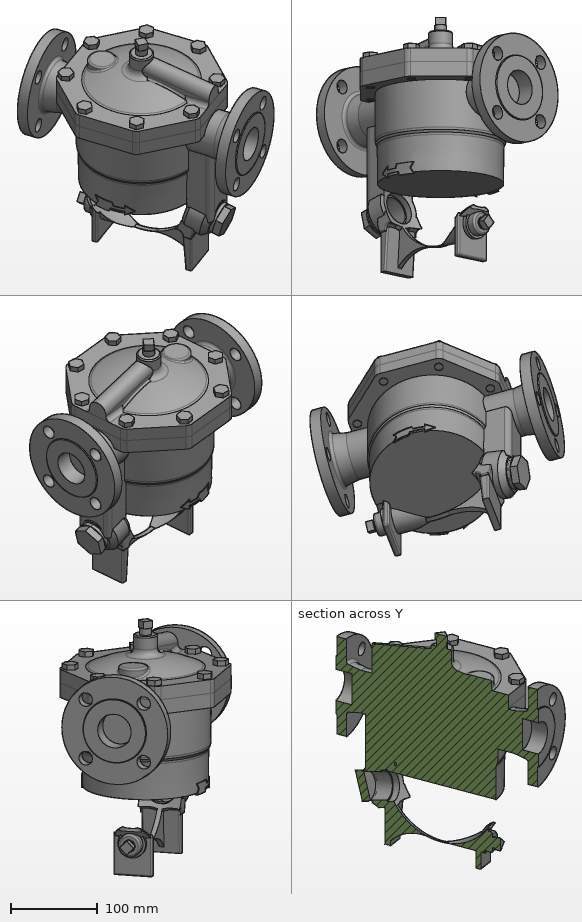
import cadquery as cq
import math


OVERLAP = 1.0
ARC_INSET = 1 - math.sqrt(0.5)

BODY_R = 75.5
LOWER_R_TOP = 73.2
LOWER_R_BOTTOM = 72.7
BODY_BOTTOM_Z = -94.0
STEP_TOP_Z = -43.0
STEP_BOTTOM_Z = -51.5
STEP_EASE_R = 0.4
STEP_EASE_Z = 2.8
BOWL_R = 73.0

OCTAGON_WIDTH = 185.0
OCTAGON_LEFT_X = -90.0
JOINT_BOTTOM_Z = 13.0
JOINT_Z = 30.2
JOINT_TOP_Z = 46.4
JOINT_CORNER_R = 10.0
BOLT_COUNT = 8
BOLT_CIRCLE_R = 87.3
BOLT_HEAD_FLATS = 16.0
BOLT_HEAD_HEIGHT = 6.3
BOLT_D = 10.0
BOLT_END_LENGTH = 0.7

FLANGE_MID_X = 5.4
FLANGE_SPAN = 270.0
FLANGE_D = 127.0
FLANGE_THICKNESS = 14.4
RAISED_FACE_R = 38.0
RAISED_FACE_HEIGHT = 1.3
RAISED_FACE_CHAMFER = 0.8
PIPE_BORE_D = 40.0
PIPE_BORE_DEPTH = 21.0
FLANGE_BOLT_CIRCLE_D = 98.4
FLANGE_HOLE_D = 16.0
NECK_R = 28.0
NECK_ROOT_R = 31.0
NECK_FLARE_LENGTH = 19.5
NECK_ROOT_FILLET = 3.8

DOME_R = 66.5
DOME_EDGE_R = 69.0
DOME_EDGE_Z = JOINT_TOP_Z + 1.0
DOME_CROWN_R = 22.6
DOME_CROWN_Z = 60.3
DOME_CENTRE_Z = (DOME_CROWN_Z + DOME_EDGE_Z) / 2 - (
    (DOME_R**2 - DOME_CROWN_R**2) / (2 * (DOME_CROWN_Z - DOME_EDGE_Z))
)
DOME_SPHERE_R = math.hypot(DOME_R, DOME_EDGE_Z - DOME_CENTRE_Z)
STEM_R = 14.0
STEM_FILLET_TOP_Z = 69.5
STEM_TOP_Z = 85.0
STEM_CHAMFER = 1.5
PLUG_SQUARE = 12.0
PLUG_HEAD_LENGTH = 8.6
PLUG_COLLAR_R = 7.0
PLUG_COLLAR_LENGTH = 7.7

COVER_BOSS_X = -50.4
COVER_BOSS_R = 17.0
COVER_BOSS_TOP_Z = 59.4
COVER_BOSS_EDGE_R = 2.5

RIDGE_R = 12.25
RIDGE_SLOPE = math.radians(10)
RIDGE_END_Z = 53.6
RIDGE_FOOT_FILLET = 6.0
RIDGE_FOOT_START_X = 62.5
RIDGE_DOME_FILLET = 2.8

DUCT_END_X = 101.3
DUCT_START_X = 66.0
DUCT_HALF_WIDTH = 23.0
DUCT_BOTTOM_Z = -113.0
DUCT_EDGE_R = 7.0
HOLDER_TILT = 14.0
HOLDER_END = (110.1, -122.7)
HOLDER_R = 27.7
HOLDER_NECK_R = 21.5
HOLDER_LENGTH = 47.0
HOLDER_END_BEVEL = (5.5, 3.0)
HOLDER_TAPER_START = 21.0
HOLDER_NECK_START = 13.4
CAP_THICKNESS = 9.0
CAP_CORNER_D = 39.5
CAP_WASHER_R = 19.0
HOLDER_BORE_R = 17.5
HOLDER_BORE_FLOOR = 12.0
HOLDER_BORE_MOUTH_R = 19.4
HOLDER_BORE_MOUTH_DEPTH = 35.0

FOOT_BOTTOM_Z = -189.7
FOOT_HALF_WIDTH = 23.2
SADDLE_HALF_WIDTH = 25.2
FOOT_EDGE_R = 1.9
WEB_THICKNESS = 6.0

LEFT_FOOT_X = (-53.1, -45.5)
LEFT_FOOT_TOP_Z = -136.0
DRAIN_Z = -150.5
DRAIN_R = 13.6
DRAIN_EDGE_R = 2.5
FLARE_R = 23.0
FLARE_LENGTH = 3.5
FLARE_WALL = 2.8
FLARE_LOWEST_Z = -143.0
DRAIN_FACE_X = -68.3
DRAIN_COLLAR_LENGTH = 2.0
FAIRING_R = 16.6
FAIRING_START_X = -58.0
FAIRING_END_X = 2.0

RIGHT_FOOT_X = (67.5, 75.4)
RIGHT_FOOT_TOP_Z = -120.0
RIGHT_FOOT_SHOULDER = (63.7, -138.0)
SADDLE_TOP_Z = -119.0
SADDLE_LEDGE_Z = -134.5
SADDLE_BOTTOM_Z = -143.0
SADDLE_LEDGE_X = 59.5
SADDLE_ROOT_X = 65.0
SADDLE_X = (54.5, 78.6)
SADDLE_EDGE_R = 1.5

WEB_TIP_X = 14.0
WEB_TIP_Z = -166.0
WEB_MID = (48.4, -169.6)
WEB_ROOT_Z = -188.5

STRIP_WALL = 0.8
STRIP_X = (-8.0, 30.0)

ARROW_R = 73.8
ARROW_Z = -88.8
ARROW_TAIL_X = -25.4
ARROW_NOTCH = 4.2
ARROW_HALF_HEIGHT = 6.9
ARROW_SHAFT_HALF = 2.3
ARROW_VANE_TOP_X = -1.9
ARROW_VANE_BOTTOM_X = -5.9
ARROW_STEP = 1.8
ARROW_HEAD_X = 13.7
ARROW_TIP_X = 25.6


def cylinder_z(radius, bottom, top, x=0.0, y=0.0):
    return cq.Workplane("XY", origin=(x, y, bottom)).circle(radius).extrude(top - bottom)


def cylinder_x(radius, start, end, z=0.0):
    return cq.Workplane("YZ", origin=(start, 0, z)).circle(radius).extrude(end - start)


def box(x, y, z):
    """Box from (low, high) pairs."""
    return cq.Workplane("XY").box(
        x[1] - x[0], y[1] - y[0], z[1] - z[0], centered=False
    ).translate((x[0], y[0], z[0]))


def plate_xz(outline, half_width):
    """Extrude a closed XZ outline equally to both sides of the XZ plane."""
    return outline.close().extrude(half_width, both=True)


def make_body():
    profile = (
        cq.Workplane("XZ")
        .moveTo(0, BODY_BOTTOM_Z)
        .lineTo(LOWER_R_BOTTOM, BODY_BOTTOM_Z)
        .lineTo(LOWER_R_TOP, STEP_BOTTOM_Z)
        .lineTo(LOWER_R_TOP + STEP_EASE_R, STEP_BOTTOM_Z + STEP_EASE_Z)
        .lineTo(BODY_R - STEP_EASE_R, STEP_TOP_Z - STEP_EASE_Z)
        .lineTo(BODY_R, STEP_TOP_Z)
        .lineTo(BODY_R, JOINT_BOTTOM_Z)
        .lineTo(0, JOINT_BOTTOM_Z)
        .close()
    )
    return profile.revolve(360, (0, 0, 0), (0, 1, 0))


def octagon_plate(bottom, top):
    corner_d = OCTAGON_WIDTH / math.cos(math.pi / 8)
    plate = (
        cq.Workplane("XY", origin=(0, 0, bottom))
        .transformed(rotate=(0, 0, 180 / 8))
        .polygon(8, corner_d)
        .extrude(top - bottom)
    )
    reach = OCTAGON_WIDTH
    plate = plate.cut(box((-reach, OCTAGON_LEFT_X), (-reach, reach), (bottom, top)))
    return plate.edges("|Z").fillet(JOINT_CORNER_R)


def make_bolts():
    corner_d = BOLT_HEAD_FLATS / math.cos(math.pi / 6)
    bolts = cq.Workplane("XY")
    for i in range(BOLT_COUNT):
        angle = 360 / BOLT_COUNT * (i + 0.5)
        head = (
            cq.Workplane("XY", origin=(BOLT_CIRCLE_R, 0, JOINT_TOP_Z))
            .polygon(6, corner_d)
            .extrude(BOLT_HEAD_HEIGHT)
        )
        end = cylinder_z(BOLT_D / 2, JOINT_BOTTOM_Z - BOLT_END_LENGTH, JOINT_TOP_Z, BOLT_CIRCLE_R)
        bolts = bolts.add(head.union(end).rotate((0, 0, 0), (0, 0, 1), angle))
    return bolts.combine()


def make_pipe_end():
    """Outlet neck and flange, on the +X side."""
    face = FLANGE_MID_X + FLANGE_SPAN / 2
    seat = face - RAISED_FACE_HEIGHT
    back = face - FLANGE_THICKNESS
    root = back - NECK_ROOT_FILLET
    arc_mid = NECK_ROOT_FILLET * ARC_INSET
    profile = (
        cq.Workplane("XY")
        .moveTo(0, 0)
        .lineTo(face, 0)
        .lineTo(face, RAISED_FACE_R - RAISED_FACE_CHAMFER)
        .lineTo(seat, RAISED_FACE_R)
        .lineTo(seat, FLANGE_D / 2)
        .lineTo(back, FLANGE_D / 2)
        .lineTo(back, NECK_ROOT_R + NECK_ROOT_FILLET)
        .threePointArc((back - arc_mid, NECK_ROOT_R + arc_mid), (root, NECK_ROOT_R))
        .lineTo(back - NECK_FLARE_LENGTH, NECK_R)
        .lineTo(0, NECK_R)
        .close()
    )
    return profile.revolve(360, (0, 0, 0), (1, 0, 0))


def make_pipe_holes():
    """Blind bore and flange holes of the outlet."""
    face = FLANGE_MID_X + FLANGE_SPAN / 2
    holes = cylinder_x(PIPE_BORE_D / 2, face - PIPE_BORE_DEPTH, face)
    bolt_holes = (
        cq.Workplane("YZ", origin=(face - FLANGE_THICKNESS, 0, 0))
        .polarArray(FLANGE_BOLT_CIRCLE_D / 2, 45, 360, 4)
        .circle(FLANGE_HOLE_D / 2)
        .extrude(FLANGE_THICKNESS)
    )
    return holes.union(bolt_holes)


def at_both_ends(shape):
    return shape.union(shape.mirror("YZ", (FLANGE_MID_X, 0, 0)))


def make_square_plug():
    """Plug with a collar and a square head, pointing along +Z from z = 0."""
    collar = cylinder_z(PLUG_COLLAR_R, -OVERLAP, PLUG_COLLAR_LENGTH)
    head = (
        cq.Workplane("XY", origin=(0, 0, PLUG_COLLAR_LENGTH))
        .transformed(rotate=(0, 0, 45))
        .rect(PLUG_SQUARE, PLUG_SQUARE)
        .extrude(PLUG_HEAD_LENGTH)
    )
    return collar.union(head)


def make_cover():
    mid_r = (DOME_R + DOME_CROWN_R) / 2
    mid_z = DOME_CENTRE_Z + math.sqrt(DOME_SPHERE_R**2 - mid_r**2)
    fillet_r = DOME_CROWN_R - STEM_R
    fillet_h = STEM_FILLET_TOP_Z - DOME_CROWN_Z
    dome = (
        cq.Workplane("XZ")
        .moveTo(0, JOINT_TOP_Z)
        .lineTo(DOME_EDGE_R, JOINT_TOP_Z)
        .lineTo(DOME_R, DOME_EDGE_Z)
        .threePointArc((mid_r, mid_z), (DOME_CROWN_R, DOME_CROWN_Z))
        .threePointArc(
            (STEM_R + ARC_INSET * fillet_r, DOME_CROWN_Z + ARC_INSET * fillet_h),
            (STEM_R, STEM_FILLET_TOP_Z),
        )
        .lineTo(STEM_R, STEM_TOP_Z - STEM_CHAMFER)
        .lineTo(STEM_R - STEM_CHAMFER, STEM_TOP_Z)
        .lineTo(0, STEM_TOP_Z)
        .close()
        .revolve(360, (0, 0, 0), (0, 1, 0))
    )
    boss = cylinder_z(COVER_BOSS_R, JOINT_TOP_Z, COVER_BOSS_TOP_Z, COVER_BOSS_X)
    boss = boss.faces(">Z").edges().fillet(COVER_BOSS_EDGE_R)
    plug = make_square_plug().translate((0, 0, STEM_TOP_Z))
    dome = dome.union(boss)
    margin = 0.5
    reach = COVER_BOSS_R + margin
    seam = cq.selectors.BoxSelector(
        (COVER_BOSS_X - reach, -reach, JOINT_TOP_Z + margin),
        (COVER_BOSS_X + reach, reach, COVER_BOSS_TOP_Z - COVER_BOSS_EDGE_R - margin),
        boundingbox=True,
    )
    return dome.edges(seam).fillet(COVER_BOSS_EDGE_R).union(plug)


def make_ridge_dome_fillet():
    """Concave fillets along both sides of the ridge, following the dome."""
    side = RIDGE_R + RIDGE_DOME_FILLET
    low = math.sqrt(DOME_SPHERE_R**2 - side**2)
    high = low + RIDGE_DOME_FILLET
    bulge = RIDGE_DOME_FILLET * ARC_INSET
    section = (
        cq.Workplane("YZ")
        .moveTo(0, low - OVERLAP)
        .lineTo(side, low - OVERLAP)
        .lineTo(side, low)
        .threePointArc((RIDGE_R + bulge, low + bulge), (RIDGE_R, high))
        .lineTo(0, high)
        .close()
    )
    half = section.revolve(360, (0, 0, 0), (1, 0, 0)).translate((0, 0, DOME_CENTRE_Z))
    window = box((STEM_R, DOME_R), (0, side), (JOINT_TOP_Z, STEM_TOP_Z))
    half = half.intersect(window)
    return half.union(half.mirror("XZ"))


def make_ridge():
    """Round-topped ridge falling from the stem to the outlet edge of the cover."""
    end_x = OCTAGON_WIDTH / 2
    start_z = RIDGE_END_Z + end_x * math.tan(RIDGE_SLOPE)
    length = OCTAGON_WIDTH
    axis = cq.Plane(
        origin=(0, 0, start_z),
        xDir=(0, 1, 0),
        normal=(math.cos(RIDGE_SLOPE), 0, -math.sin(RIDGE_SLOPE)),
    )
    rod = cq.Workplane(axis).circle(RIDGE_R).extrude(length)
    wall = plate_xz(
        cq.Workplane("XZ")
        .moveTo(0, JOINT_TOP_Z)
        .lineTo(end_x, JOINT_TOP_Z)
        .lineTo(end_x, RIDGE_END_Z)
        .lineTo(0, start_z),
        RIDGE_R,
    )
    foot_half = RIDGE_R + RIDGE_FOOT_FILLET
    foot_top = JOINT_TOP_Z + RIDGE_FOOT_FILLET
    foot = box((RIDGE_FOOT_START_X, end_x), (-foot_half, foot_half), (JOINT_TOP_Z, foot_top))
    for side in (-1, 1):
        groove = cylinder_x(RIDGE_FOOT_FILLET, 0, end_x, foot_top)
        foot = foot.cut(groove.translate((0, side * foot_half, 0)))
    envelope = box((0, end_x), (-foot_half, foot_half), (JOINT_TOP_Z, STEM_TOP_Z))
    ridge = rod.union(wall).union(foot).intersect(envelope)
    return ridge.union(make_ridge_dome_fillet())


def holder_plane(distance):
    """Workplane across the screen holder axis, at a distance inward from the cap face."""
    tilt = math.radians(HOLDER_TILT)
    inward = cq.Vector(-math.cos(tilt), 0, math.sin(tilt))
    origin = cq.Vector(HOLDER_END[0], 0, HOLDER_END[1]) + inward * distance
    plane = cq.Plane(origin=origin, xDir=(math.sin(tilt), 0, math.cos(tilt)), normal=inward)
    return cq.Workplane(plane)


def holder_cylinder(radius, start, end):
    return holder_plane(start).circle(radius).extrude(end - start)


def holder_cone(start_radius, end_radius, start, end):
    base = holder_plane(start).circle(start_radius)
    return base.workplane(offset=end - start).circle(end_radius).loft()


def make_duct_and_holder():
    duct = box(
        (DUCT_START_X, DUCT_END_X), (-DUCT_HALF_WIDTH, DUCT_HALF_WIDTH), (DUCT_BOTTOM_Z, 0)
    )
    duct = duct.edges("|Z and >X").fillet(DUCT_EDGE_R)
    bevel_start = HOLDER_LENGTH - HOLDER_END_BEVEL[0]
    barrel = holder_cylinder(HOLDER_R, HOLDER_TAPER_START, bevel_start)
    bevel = holder_cone(HOLDER_R, HOLDER_R - HOLDER_END_BEVEL[1], bevel_start, HOLDER_LENGTH)
    taper = holder_cone(HOLDER_NECK_R, HOLDER_R, HOLDER_NECK_START, HOLDER_TAPER_START)
    washer = holder_cylinder(CAP_WASHER_R, CAP_THICKNESS, HOLDER_NECK_START)
    cap = holder_plane(0).polygon(6, CAP_CORNER_D).extrude(CAP_THICKNESS)
    return duct.union(barrel).union(bevel).union(taper).union(washer).union(cap)


def make_holder_bore():
    bore = holder_cylinder(HOLDER_BORE_R, HOLDER_BORE_FLOOR, HOLDER_LENGTH)
    return bore.union(holder_cylinder(HOLDER_BORE_MOUTH_R, HOLDER_BORE_MOUTH_DEPTH, HOLDER_LENGTH))


def make_drain_flare():
    """Flare that blends the upper side of the drain boss into the bowl wall."""
    start = DRAIN_FACE_X + DRAIN_EDGE_R - OVERLAP
    end = start + FLARE_LENGTH
    inner = LEFT_FOOT_X[0]
    flare_mid = (end - FLARE_LENGTH * ARC_INSET, DRAIN_R + (FLARE_R - DRAIN_R) * ARC_INSET)
    flare = (
        cq.Workplane("XY")
        .moveTo(start, 0)
        .lineTo(start, DRAIN_R)
        .threePointArc(flare_mid, (end, FLARE_R))
        .lineTo(inner, FLARE_R)
        .lineTo(inner, 0)
        .close()
        .revolve(360, (0, 0, 0), (1, 0, 0))
        .translate((0, 0, DRAIN_Z))
    )
    wall = cq.Workplane("XY").sphere(BOWL_R + FLARE_WALL).translate((0, 0, BODY_BOTTOM_Z))
    upper = box((start, inner), (-FLARE_R, FLARE_R), (FLARE_LOWEST_Z, BODY_BOTTOM_Z))
    return flare.intersect(wall).intersect(upper)


def make_left_foot():
    plate = box(LEFT_FOOT_X, (-FOOT_HALF_WIDTH, FOOT_HALF_WIDTH), (FOOT_BOTTOM_Z, LEFT_FOOT_TOP_Z))
    plate = plate.edges("|Z or <Z").fillet(FOOT_EDGE_R)
    fairing = cylinder_x(FAIRING_R, FAIRING_START_X, FAIRING_END_X, DRAIN_Z)
    drain = cylinder_x(DRAIN_R, DRAIN_FACE_X, LEFT_FOOT_X[1], DRAIN_Z)
    drain = drain.faces("<X").edges().fillet(DRAIN_EDGE_R)
    plug = make_square_plug().translate((0, 0, DRAIN_COLLAR_LENGTH - PLUG_COLLAR_LENGTH))
    plug = plug.rotate((0, 0, 0), (0, 1, 0), -90).translate((DRAIN_FACE_X, 0, DRAIN_Z))
    foot = plate.union(fairing).union(drain).union(plug)
    return foot.union(make_drain_flare())


def make_right_foot():
    left, right = RIGHT_FOOT_X
    plate = plate_xz(
        cq.Workplane("XZ")
        .moveTo(left, FOOT_BOTTOM_Z)
        .lineTo(right, FOOT_BOTTOM_Z)
        .lineTo(right, RIGHT_FOOT_TOP_Z)
        .lineTo(RIGHT_FOOT_SHOULDER[0], RIGHT_FOOT_TOP_Z)
        .lineTo(*RIGHT_FOOT_SHOULDER),
        FOOT_HALF_WIDTH,
    )
    plate = plate.edges("not(#Z or >Z)").edges("not(|Y)").fillet(FOOT_EDGE_R)
    ledge_mid = (
        SADDLE_ROOT_X - (SADDLE_ROOT_X - SADDLE_LEDGE_X) * ARC_INSET,
        SADDLE_LEDGE_Z + (SADDLE_BOTTOM_Z - SADDLE_LEDGE_Z) * ARC_INSET,
    )
    saddle = plate_xz(
        cq.Workplane("XZ")
        .moveTo(SADDLE_X[0], SADDLE_TOP_Z)
        .lineTo(SADDLE_X[0], SADDLE_LEDGE_Z)
        .lineTo(SADDLE_LEDGE_X, SADDLE_LEDGE_Z)
        .threePointArc(ledge_mid, (SADDLE_ROOT_X, SADDLE_BOTTOM_Z))
        .lineTo(right, SADDLE_BOTTOM_Z)
        .lineTo(SADDLE_X[1], SADDLE_LEDGE_Z)
        .lineTo(SADDLE_X[1], SADDLE_TOP_Z),
        SADDLE_HALF_WIDTH,
    )
    saddle = saddle.faces("<Y or >Y").edges().fillet(SADDLE_EDGE_R)
    inside = (left + right) / 2
    web = plate_xz(
        cq.Workplane("XZ")
        .moveTo(WEB_TIP_X, WEB_TIP_Z)
        .threePointArc(WEB_MID, (inside, WEB_ROOT_Z))
        .lineTo(inside, SADDLE_LEDGE_Z)
        .lineTo(WEB_TIP_X, SADDLE_LEDGE_Z),
        WEB_THICKNESS / 2,
    )
    return plate.union(saddle).union(web)


def make_bowl_strip():
    centre = (0, 0, BODY_BOTTOM_Z)
    shell = cq.Workplane("XY").sphere(BOWL_R + STRIP_WALL).cut(cq.Workplane("XY").sphere(BOWL_R))
    lowest = BODY_BOTTOM_Z - BOWL_R - STRIP_WALL
    window = box(STRIP_X, (-WEB_THICKNESS / 2, WEB_THICKNESS / 2), (lowest, BODY_BOTTOM_Z))
    return shell.translate(centre).intersect(window)


def make_arrow():
    """Raised flow arrow on the -Y side of the body."""
    top = ARROW_Z + ARROW_HALF_HEIGHT
    bottom = ARROW_Z - ARROW_HALF_HEIGHT
    shaft_top = ARROW_Z + ARROW_SHAFT_HALF
    shaft_bottom = ARROW_Z - ARROW_SHAFT_HALF
    prism = (
        cq.Workplane("XZ")
        .moveTo(ARROW_TAIL_X, top)
        .lineTo(ARROW_VANE_TOP_X, top)
        .lineTo(ARROW_VANE_TOP_X + ARROW_STEP, shaft_top)
        .lineTo(ARROW_HEAD_X, shaft_top)
        .lineTo(ARROW_HEAD_X, top)
        .lineTo(ARROW_TIP_X, ARROW_Z)
        .lineTo(ARROW_HEAD_X, bottom)
        .lineTo(ARROW_HEAD_X, shaft_bottom)
        .lineTo(ARROW_VANE_BOTTOM_X + ARROW_STEP, shaft_bottom)
        .lineTo(ARROW_VANE_BOTTOM_X, bottom)
        .lineTo(ARROW_TAIL_X, bottom)
        .lineTo(ARROW_TAIL_X + ARROW_NOTCH, ARROW_Z)
        .close()
        .extrude(BODY_R)
    )
    band = cylinder_z(ARROW_R, bottom, top).cut(cylinder_z(LOWER_R_BOTTOM - OVERLAP, bottom, top))
    return prism.intersect(band)


lower_parts = make_duct_and_holder().union(make_left_foot()).union(make_right_foot())
lower_parts = lower_parts.cut(make_holder_bore())
bowl = cq.Workplane("XY").sphere(BOWL_R).translate((0, 0, BODY_BOTTOM_Z))
lower_parts = lower_parts.cut(bowl).union(make_bowl_strip())

arrow = make_arrow()

result = (
    make_body()
    .union(at_both_ends(make_pipe_end()))
    .union(lower_parts)
    .union(octagon_plate(JOINT_BOTTOM_Z, JOINT_Z))
    .union(octagon_plate(JOINT_Z, JOINT_TOP_Z), clean=False)
    .union(make_cover().union(make_ridge()), clean=False)
    .union(make_bolts(), clean=False)
    .union(arrow, clean=False)
    .union(arrow.mirror("XZ"), clean=False)
    .cut(at_both_ends(make_pipe_holes()), clean=False)
)